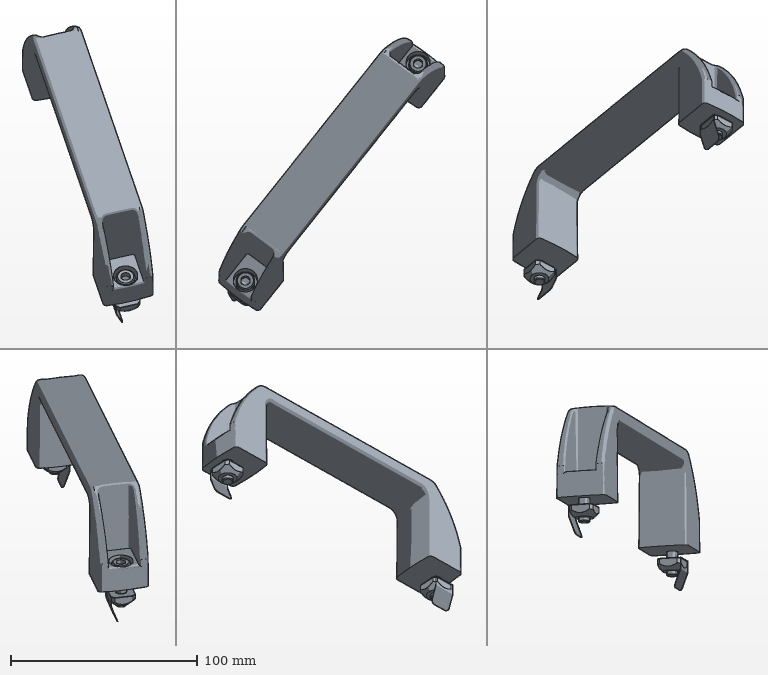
import cadquery as cq
import math

length = 166.9
height = 53.4
base_width = 28.0
top_width = 27.0
foot_length = 24.9
bar_thickness = 10.0
end_face_height = 17.4
shoulder_radius = 76.8
shoulder_tilt = 13.6
shoulder_corner_radius = 6.7
inner_corner_radius = 4.5
crown_radius = 116.8
crown_trim_thickness = 1.7
side_edge_radius = 2.2

pocket_floor = 14.0
pocket_floor_width = 16.7
pocket_back_inset = 20.0
pocket_draft = 2.0
pocket_corner_radius = 1.3
pocket_mouth_radius = 1.3
pocket_overrun = 8.3

screw_inset = 7.3
shaft_diameter = 6.0
clearance_diameter = 6.2
counterbore_diameter = 13.0
head_diameter = 10.0
head_height = 6.0
head_chamfer = 0.7
head_recess = 0.7
socket_diameter = 5.0
socket_depth = 3.0
socket_cone_depth = 1.5
screw_tip = -13.0
tip_chamfer = 0.5

nut_size = 13.4
nut_top = -4.7
nut_bottom = -10.7
nut_corner_chamfer = 1.7
nut_bottom_diameter = 10.0

clip_thickness = 0.3
leaf_width = 12.3
leaf_corner_radius = 2.5
leaf_bend_start = -9.5
leaf_bend_radius = 4.3
leaf_angle = 20.5
leaf_tip = -20.5

half_length = length / 2
inner_x = half_length - foot_length
inner_z = height - bar_thickness
screw_x = half_length - screw_inset
head_top = pocket_floor - head_recess
head_seat = head_top - head_height
pocket_back_x = half_length - pocket_back_inset
pocket_spread = (height - pocket_floor) * math.tan(math.radians(pocket_draft))
SIDES = (-1, 1)
tolerance = 0.02


def on_circle(center, radius, angle):
    """Point on a circle, angle in radians."""
    return center[0] + radius * math.cos(angle), center[1] + radius * math.sin(angle)


def mirrored(point):
    return -point[0], point[1]


def draw_outer_contour(sketch):
    """Up the left end, over the shoulders and the top, and down the right end."""
    tilt = math.radians(shoulder_tilt)
    arc_center = (
        -half_length + shoulder_radius * math.cos(tilt),
        end_face_height - shoulder_radius * math.sin(tilt),
    )
    center_distance = shoulder_radius - shoulder_corner_radius
    corner_rise = height - shoulder_corner_radius - arc_center[1]
    blend_angle = math.pi - math.asin(corner_rise / center_distance)
    corner_center = on_circle(arc_center, center_distance, blend_angle)

    arc_start = (-half_length, end_face_height)
    arc_middle = on_circle(arc_center, shoulder_radius, (math.pi - tilt + blend_angle) / 2)
    arc_end = on_circle(arc_center, shoulder_radius, blend_angle)
    corner_middle = on_circle(corner_center, shoulder_corner_radius, (blend_angle + math.pi / 2) / 2)
    corner_end = (corner_center[0], height)
    return (
        sketch.moveTo(-half_length, 0)
        .lineTo(*arc_start)
        .threePointArc(arc_middle, arc_end)
        .threePointArc(corner_middle, corner_end)
        .lineTo(*mirrored(corner_end))
        .threePointArc(mirrored(corner_middle), mirrored(arc_end))
        .threePointArc(mirrored(arc_middle), mirrored(arc_start))
        .lineTo(half_length, 0)
    )


def draw_inner_contour(sketch):
    """Down from the bar to the feet, drawn from the right foot to the left foot."""
    corner_z = inner_z - inner_corner_radius
    corner_x = inner_x - inner_corner_radius
    corner_middle = on_circle((corner_x, corner_z), inner_corner_radius, math.pi / 4)
    return (
        sketch.lineTo(inner_x, corner_z)
        .threePointArc(corner_middle, (corner_x, inner_z))
        .lineTo(-corner_x, inner_z)
        .threePointArc(mirrored(corner_middle), (-inner_x, corner_z))
        .lineTo(-inner_x, 0)
    )


def make_crown_trim(path, start_x):
    """Stock outside the crowned face along a contour whose start has the handle on its +X side."""
    half_width = base_width / 2 + crown_trim_thickness
    sag = crown_radius - math.sqrt(crown_radius**2 - half_width**2)
    edge_x = start_x + sag
    stock_x = start_x - crown_trim_thickness
    return (
        cq.Workplane("XY")
        .moveTo(edge_x, -half_width)
        .threePointArc((start_x, 0), (edge_x, half_width))
        .lineTo(stock_x, half_width)
        .lineTo(stock_x, -half_width)
        .close()
        .sweep(path, transition="right")
    )


def make_bow():
    """Bow with tapered sides, crowned faces and rounded side edges."""
    outline = draw_inner_contour(draw_outer_contour(cq.Workplane("XZ")).lineTo(inner_x, 0)).close()
    taper_envelope = (
        cq.Workplane("YZ")
        .polyline([
            (-base_width / 2, 0),
            (base_width / 2, 0),
            (top_width / 2, height),
            (-top_width / 2, height),
        ])
        .close()
        .extrude(half_length, both=True)
    )
    outer_path = draw_outer_contour(cq.Workplane("XZ"))
    inner_path = draw_inner_contour(cq.Workplane("XZ").moveTo(inner_x, 0))
    bow = (
        outline.extrude(base_width / 2, both=True)
        .intersect(taper_envelope)
        .cut(make_crown_trim(outer_path, -half_length))
        .cut(make_crown_trim(inner_path, inner_x))
    )
    side_edges = [
        edge for edge in bow.edges().vals()
        if edge.Center().z > tolerance and abs(edge.Center().y) > top_width / 4
    ]
    return bow.newObject(side_edges).fillet(side_edge_radius)


def make_pocket(side):
    """Drafted cutter that opens to the end and to the top of one foot."""
    pocket_length = pocket_back_inset + pocket_overrun
    return (
        cq.Workplane("XY")
        .workplane(offset=pocket_floor)
        .sketch()
        .push([(side * (pocket_back_x + pocket_length / 2), 0)])
        .rect(pocket_length, pocket_floor_width)
        .reset()
        .vertices()
        .fillet(pocket_corner_radius)
        .finalize()
        .extrude(height - pocket_floor + pocket_overrun, taper=-pocket_draft)
    )


def round_pocket_mouth(handle):
    """Round the curved rim edges where the pockets break through the crowned faces."""
    mouth_back_x = pocket_back_x - pocket_spread
    mouth_half_width = pocket_floor_width / 2 + pocket_spread
    mouth_edges = []
    for edge in handle.edges().vals():
        center = edge.Center()
        beyond_back_wall = abs(center.x) > mouth_back_x - tolerance
        between_walls = abs(center.y) < mouth_half_width
        above_floor = center.z > pocket_floor + tolerance
        on_floor_front = abs(center.z - pocket_floor) < tolerance and abs(center.x) > screw_x
        is_curved = edge.geomType() != "LINE"
        if is_curved and beyond_back_wall and between_walls and (above_floor or on_floor_front):
            mouth_edges.append(edge)
    return handle.newObject(mouth_edges).fillet(pocket_mouth_radius)


def make_handle():
    handle = make_bow()
    for side in SIDES:
        handle = handle.cut(make_pocket(side))
    handle = round_pocket_mouth(handle)

    screw_places = [(side * screw_x, 0) for side in SIDES]
    counterbores = (
        cq.Workplane("XY")
        .workplane(offset=head_seat)
        .pushPoints(screw_places)
        .circle(counterbore_diameter / 2)
        .extrude(pocket_floor - head_seat)
    )
    clearance_holes = (
        cq.Workplane("XY")
        .pushPoints(screw_places)
        .circle(clearance_diameter / 2)
        .extrude(head_seat)
    )
    return handle.cut(counterbores).cut(clearance_holes)


def make_screw(side):
    """Socket head screw, revolved about its axis."""
    socket_floor = head_top - socket_depth
    profile = [
        (0, screw_tip),
        (shaft_diameter / 2 - tip_chamfer, screw_tip),
        (shaft_diameter / 2, screw_tip + tip_chamfer),
        (shaft_diameter / 2, head_seat),
        (head_diameter / 2, head_seat),
        (head_diameter / 2, head_top - head_chamfer),
        (head_diameter / 2 - head_chamfer, head_top),
        (socket_diameter / 2, head_top),
        (socket_diameter / 2, socket_floor),
        (0, socket_floor - socket_cone_depth),
    ]
    screw = cq.Workplane("XZ").polyline(profile).close().revolve(360, (0, 0), (0, 1))
    return screw.translate((side * screw_x, 0, 0))


def make_nut(side):
    """Square nut with chamfered corners and a conical underside."""
    nut_height = nut_top - nut_bottom
    bottom_radius = nut_bottom_diameter / 2
    cone = (
        cq.Workplane("XZ")
        .polyline([
            (0, nut_bottom),
            (bottom_radius, nut_bottom),
            (bottom_radius + nut_height, nut_top),
            (0, nut_top),
        ])
        .close()
        .revolve(360, (0, 0), (0, 1))
    )
    nut = (
        cq.Workplane("XY")
        .workplane(offset=nut_bottom)
        .rect(nut_size, nut_size)
        .extrude(nut_height)
        .edges("|Z")
        .chamfer(nut_corner_chamfer)
        .intersect(cone)
        .faces(">Z")
        .workplane()
        .hole(shaft_diameter)
    )
    return nut.translate((side * screw_x, 0, 0))


def make_clip_leaf():
    """Thin leaf down the +Y side of the nut, bent inward below it."""
    bend = math.radians(leaf_angle)
    clip_top = nut_top + clip_thickness
    outer_y = nut_size / 2 + clip_thickness
    inner_y = nut_size / 2
    inner_bend_radius = leaf_bend_radius - clip_thickness
    bend_center = (outer_y - leaf_bend_radius, leaf_bend_start)

    outer_bend_middle = on_circle(bend_center, leaf_bend_radius, -bend / 2)
    outer_bend_end = on_circle(bend_center, leaf_bend_radius, -bend)
    inner_bend_middle = on_circle(bend_center, inner_bend_radius, -bend / 2)
    inner_bend_end = on_circle(bend_center, inner_bend_radius, -bend)
    drop = outer_bend_end[1] - leaf_tip
    run = drop * math.tan(bend)

    leaf = (
        cq.Workplane("YZ")
        .moveTo(outer_y, clip_top)
        .lineTo(outer_y, leaf_bend_start)
        .threePointArc(outer_bend_middle, outer_bend_end)
        .lineTo(outer_bend_end[0] - run, leaf_tip)
        .lineTo(inner_bend_end[0] - run, inner_bend_end[1] - drop)
        .lineTo(*inner_bend_end)
        .threePointArc(inner_bend_middle, (inner_y, leaf_bend_start))
        .lineTo(inner_y, clip_top)
        .close()
        .extrude(leaf_width / 2, both=True)
    )
    tip_corners = [
        edge for edge in leaf.faces("<Z").edges().vals()
        if edge.Length() < 2 * clip_thickness
    ]
    return leaf.newObject(tip_corners).fillet(leaf_corner_radius)


def make_clip(side):
    """Plate on top of the nut with one leaf, turned so the two clips face opposite ways."""
    plate = (
        cq.Workplane("XY")
        .workplane(offset=nut_top)
        .rect(nut_size, nut_size)
        .extrude(clip_thickness)
        .edges("|Z")
        .chamfer(nut_corner_chamfer)
        .faces(">Z")
        .workplane()
        .hole(clearance_diameter)
    )
    clip = plate.union(make_clip_leaf())
    if side > 0:
        clip = clip.rotate((0, 0, 0), (0, 0, 1), 180)
    return clip.translate((side * screw_x, 0, 0))


handle = make_handle()
screws = [make_screw(side) for side in SIDES]
nuts = [make_nut(side) for side in SIDES]
clips = [make_clip(side) for side in SIDES]

result = cq.Compound.makeCompound([
    handle.val(),
    *[screw.val() for screw in screws],
    *[nut.val() for nut in nuts],
    *[clip.val() for clip in clips],
])